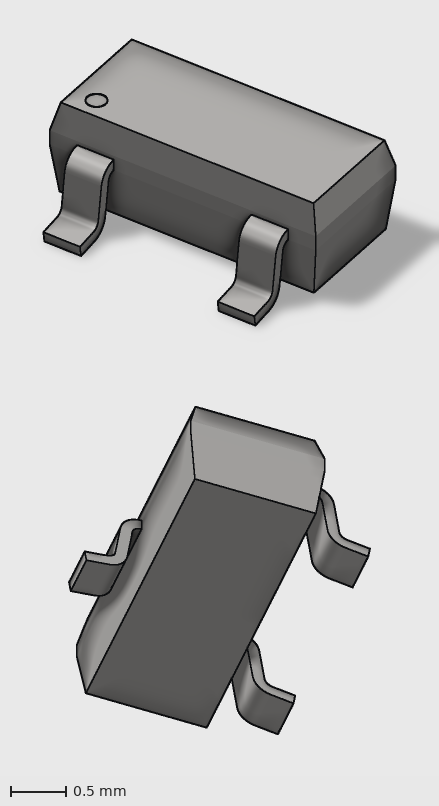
import cadquery as cq
import math

body_length = 2.9
body_width = 1.3
standoff = 0.1
belt_bottom = 0.64
belt_top = 0.8
body_top = 1.1
top_inset = 0.072
bottom_inset = 0.065

lead_width = 0.4
lead_thickness = 0.115
lead_pitch = 1.9
lead_span = 2.4
lead_tilt = math.radians(8)
bend_radius = 0.148
lead_embed = 0.087

mark_diameter = 0.2
mark_depth = 0.01
mark_x = -1.128
mark_y = -0.368


def tapered_block(z_start, z_end, inset):
    """Loft from the full body outline at z_start to an inset outline at z_end."""
    return (
        cq.Workplane("XY")
        .workplane(offset=z_start)
        .rect(body_length, body_width)
        .workplane(offset=z_end - z_start)
        .rect(body_length - 2 * inset, body_width - 2 * inset)
        .loft(ruled=True, combine=True)
    )


def make_body():
    belt = (
        cq.Workplane("XY")
        .workplane(offset=belt_bottom)
        .rect(body_length, body_width)
        .extrude(belt_top - belt_bottom)
    )
    upper = tapered_block(belt_top, body_top, top_inset)
    lower = tapered_block(belt_bottom, standoff, bottom_inset)
    return belt.union(upper).union(lower)


def make_back_lead(x_center):
    """Strip leaving the back wall at belt_bottom, bent down and out to a foot on z = 0."""
    sin_tilt = math.sin(lead_tilt)
    cos_tilt = math.cos(lead_tilt)
    half_thickness = lead_thickness / 2
    exit_y = body_width / 2
    exit_z = belt_bottom + half_thickness

    shoulder_out = bend_radius * cos_tilt
    shoulder_down = bend_radius * (1 - sin_tilt)
    ankle_travel = bend_radius * (cos_tilt - sin_tilt)

    foot_end_y = lead_span / 2 - half_thickness * sin_tilt
    foot_end_z = half_thickness * cos_tilt
    straight_out = foot_end_y - exit_y - shoulder_out - ankle_travel
    straight_down = exit_z - foot_end_z - shoulder_down - ankle_travel
    cos_double = math.cos(2 * lead_tilt)
    leg = (straight_down * cos_tilt - straight_out * sin_tilt) / cos_double
    foot = (straight_out * cos_tilt - straight_down * sin_tilt) / cos_double

    path = (
        cq.Workplane("YZ", origin=(x_center, 0, 0))
        .moveTo(exit_y - lead_embed, exit_z)
        .hLine(lead_embed)
        .tangentArcPoint((shoulder_out, -shoulder_down))
        .line(leg * sin_tilt, -leg * cos_tilt)
        .tangentArcPoint((ankle_travel, -ankle_travel))
        .line(foot * cos_tilt, -foot * sin_tilt)
    )
    return (
        cq.Workplane("XZ", origin=(x_center, exit_y - lead_embed, exit_z))
        .rect(lead_width, lead_thickness)
        .sweep(path)
    )


def make_front_lead(x_center):
    return make_back_lead(x_center).mirror("XZ")


result = make_body().union(make_back_lead(0))
for side in (-1, 1):
    result = result.union(make_front_lead(side * lead_pitch / 2))

pin_mark = (
    cq.Workplane("XY", origin=(mark_x, mark_y, body_top - mark_depth))
    .circle(mark_diameter / 2)
    .extrude(mark_depth)
)
result = result.cut(pin_mark)